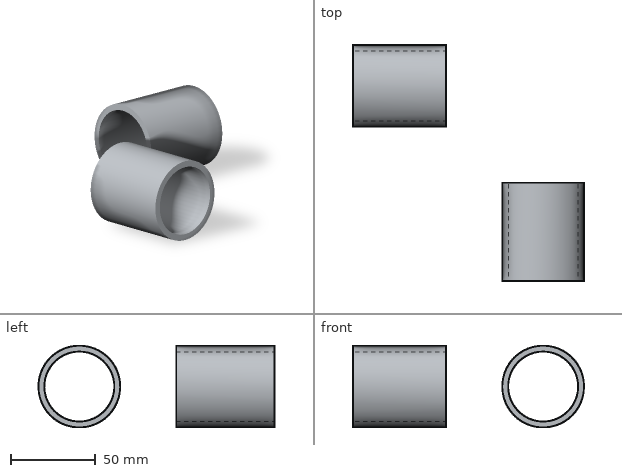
import cadquery as cq

outer_diameter = 48.3
wall_thickness = 3.6
outer_radius = outer_diameter / 2
inner_radius = outer_radius - wall_thickness

overall_y = 139.2
corner_setback = 57.0
x_pipe_length = 55.0
y_pipe_length = overall_y - outer_radius - corner_setback


def make_pipe(direction, length):
    """Straight pipe that starts at the setback and runs along the direction."""
    end_plane = cq.Plane(origin=(0, 0, 0), xDir=(0, 0, 1), normal=direction)
    return (
        cq.Workplane(end_plane)
        .workplane(offset=corner_setback)
        .circle(outer_radius)
        .circle(inner_radius)
        .extrude(length)
    )


x_pipe = make_pipe((-1, 0, 0), x_pipe_length)

y_pipe = make_pipe((0, -1, 0), y_pipe_length)

result = cq.Compound.makeCompound([x_pipe.val(), y_pipe.val()])